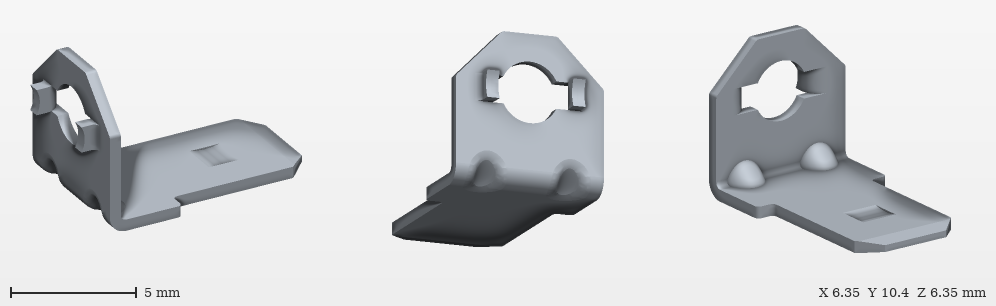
import cadquery as cq
import math


thickness = 0.5
bend_inner_radius = 0.25
bend_outer_radius = bend_inner_radius + thickness

plate_width = 6.35
plate_height = 6.35
plate_corner_chamfer = 2.0
plate_corner_round = 0.2

blade_width = 4.75
blade_tip_y = 9.65
shoulder_y = 3.3
shoulder_round = 0.2
tip_corner_chamfer = 0.88
tip_bevel_length = 0.75
tip_bevel_angle = 8.0

dimple_width = 1.6
dimple_length = 1.375
dimple_depth = 0.085
dimple_y = 6.5

hole_diameter = 2.53
hole_z = 3.94
slot_length = 4.72
slot_height = 1.125
tab_reach = 0.7
tab_thickness = 0.53
tab_bend_radius = 0.25
tab_end_radius = 1.15

bead_x = 1.785
bead_crest_leg = 0.875
bead_outer_radius = 1.0
bead_groove_radius = bead_outer_radius - thickness
bead_edge_round = 0.5
bead_length = 6.0


def box(x_range, y_range, z_range):
    """Axis-aligned box given by its limits."""
    sizes = [high - low for low, high in (x_range, y_range, z_range)]
    return cq.Workplane("XY").box(*sizes, centered=False).translate((x_range[0], y_range[0], z_range[0]))


def bent_sheet():
    """L-shaped sheet of full width with a round bend."""
    sheet = (
        cq.Workplane("YZ")
        .polyline([
            (0, 0),
            (blade_tip_y, 0),
            (blade_tip_y, thickness),
            (thickness, thickness),
            (thickness, plate_height),
            (0, plate_height),
        ])
        .close()
        .extrude(plate_width / 2, both=True)
    )
    inner_corner = cq.selectors.NearestToPointSelector((0, thickness, thickness))
    outer_corner = cq.selectors.NearestToPointSelector((0, 0, 0))
    return sheet.edges(inner_corner).fillet(bend_inner_radius).edges(outer_corner).fillet(bend_outer_radius)


def plate_outline():
    """Prism over the upright's outline, long enough to contain the whole blade."""
    return (
        cq.Workplane("XY")
        .box(plate_width, blade_tip_y, plate_height, centered=(True, False, False))
        .edges("|Y and >Z")
        .chamfer(plate_corner_chamfer)
        .edges("|Y and (not <Z)")
        .fillet(plate_corner_round)
    )


def blade_outline():
    """Prism over the blade's outline with its shoulders, as tall as the upright."""
    shoulders = box((-plate_width / 2, plate_width / 2), (0, shoulder_y), (0, plate_height))
    blade = (
        cq.Workplane("XY")
        .box(blade_width, blade_tip_y, plate_height, centered=(True, False, False))
        .edges("|Z and >Y")
        .chamfer(tip_corner_chamfer)
    )
    shoulder_edges = cq.selectors.BoxSelector(
        (-plate_width, shoulder_y - shoulder_round, 0),
        (plate_width, shoulder_y + shoulder_round, plate_height),
    )
    return shoulders.union(blade).edges("|Z").edges(shoulder_edges).fillet(shoulder_round)


def tip_bevels():
    """Wedges that thin the blade tip from above and below."""
    drop = tip_bevel_length * math.tan(math.radians(tip_bevel_angle))
    bevel_start_y = blade_tip_y - tip_bevel_length
    lower = (
        cq.Workplane("YZ")
        .polyline([(bevel_start_y, 0), (blade_tip_y, 0), (blade_tip_y, drop)])
        .close()
        .extrude(blade_width, both=True)
    )
    upper = lower.mirror("XY").translate((0, 0, thickness))
    return lower.union(upper)


def dimple():
    """Shallow cylindrical trough across the top of the blade."""
    radius = ((dimple_length / 2) ** 2 + dimple_depth**2) / (2 * dimple_depth)
    axis_z = thickness - dimple_depth + radius
    axis = cq.Plane(origin=(0, dimple_y, axis_z), xDir=(0, 0, 1), normal=(1, 0, 0))
    return cq.Workplane(axis).circle(radius).extrude(dimple_width / 2, both=True)


def screw_opening():
    """Round hole crossed by the slot that the tabs leave behind."""
    hole = (
        cq.Workplane("XZ")
        .center(0, hole_z)
        .circle(hole_diameter / 2)
        .extrude(-thickness)
    )
    slot = box(
        (-slot_length / 2, slot_length / 2),
        (0, thickness),
        (hole_z - slot_height / 2, hole_z + slot_height / 2),
    )
    return hole.union(slot)


def tab():
    """Tab on the +X side: a quarter bend out of the slot end, then straight to a hollow end."""
    slot_end_x = slot_length / 2
    bend_y = -tab_bend_radius
    outer_face_x = slot_end_x - tab_bend_radius
    inner_face_x = outer_face_x - tab_thickness
    inner_bend_radius = thickness + tab_bend_radius
    inner_bend_x = inner_face_x + inner_bend_radius
    diagonal = math.sqrt(0.5)
    profile = (
        cq.Workplane("XY")
        .moveTo(slot_end_x, 0)
        .threePointArc(
            (slot_end_x - tab_bend_radius * diagonal, bend_y + tab_bend_radius * diagonal),
            (outer_face_x, bend_y),
        )
        .lineTo(outer_face_x, -tab_reach)
        .lineTo(inner_face_x, -tab_reach)
        .lineTo(inner_face_x, bend_y)
        .threePointArc(
            (inner_bend_x - inner_bend_radius * diagonal, bend_y + inner_bend_radius * diagonal),
            (inner_bend_x, thickness),
        )
        .lineTo(slot_end_x, thickness)
        .close()
        .extrude(slot_height)
        .translate((0, 0, hole_z - slot_height / 2))
    )
    end_axis_y = -tab_reach - math.sqrt(tab_end_radius**2 - (slot_height / 2) ** 2)
    end_hollow = (
        cq.Workplane("YZ")
        .center(end_axis_y, hole_z)
        .circle(tab_end_radius)
        .extrude(slot_length)
    )
    return profile.cut(end_hollow)


def bead_cylinder(x, radius):
    """Cylinder along a bead, its axis sloping at 45 degrees across the bend."""
    crest_sum = 2 * thickness + bead_crest_leg
    axis_offset = crest_sum / 2 - bead_outer_radius * math.sqrt(0.5)
    axis = cq.Plane(origin=(x, axis_offset, axis_offset), xDir=(1, 0, 0), normal=(0, 1, -1))
    return cq.Workplane(axis).circle(radius).extrude(bead_length / 2, both=True)


def add_bead(body, x):
    """Raise a bead inside the bend, press its groove into the outside and round the groove's rim."""
    inside = thickness / 2
    inner_region = box((-plate_width, plate_width), (inside, bead_length), (inside, bead_length))
    body = body.union(bead_cylinder(x, bead_outer_radius).intersect(inner_region))
    body = body.cut(bead_cylinder(x, bead_groove_radius))
    margin = 0.01
    rim = cq.selectors.BoxSelector(
        (x - bead_groove_radius - margin, -margin, -margin),
        (x + bead_groove_radius + margin, bead_outer_radius, bead_outer_radius),
    )
    groove_wall = body.faces(cq.selectors.NearestToPointSelector((x, inside, inside)))
    return body.newObject(groove_wall.edges(rim).vals()).fillet(bead_edge_round)


result = bent_sheet().intersect(plate_outline()).intersect(blade_outline())
for side in (-1, 1):
    result = add_bead(result, side * bead_x)
result = result.cut(tip_bevels()).cut(dimple()).cut(screw_opening())
result = result.union(tab()).union(tab().mirror("YZ"))